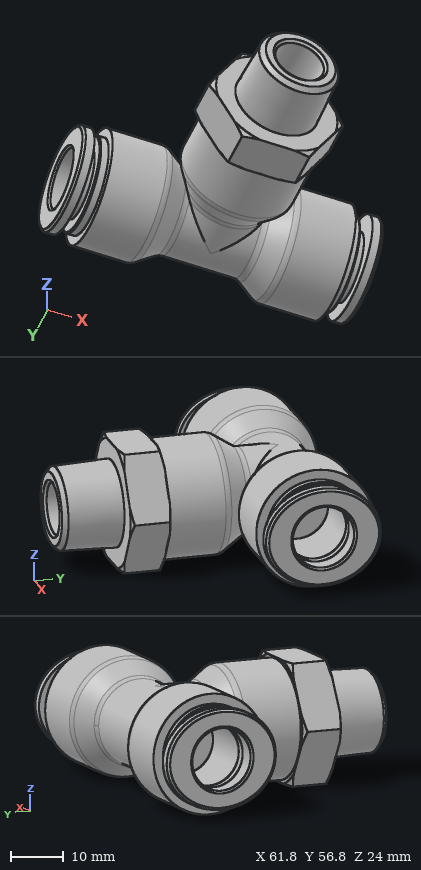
import cadquery as cq
import math

SOCKET_DIA = 23.5
NECK_DIA = 17.0
BRANCH_LENGTH = 25.0
CONE_START = 8.15
CONE_END = 13.1
CONE_BLEND = 2.3

TUBE_BORE_DIA = 12.2
TUBE_BORE_END = CONE_END

COLLAR_DIA = 19.6
COLLAR_LENGTH = 1.8
COLLAR_CHAMFER = 0.25

OVERALL_HALF_LENGTH = 30.9
SLEEVE_NECK_DIA = 14.2
FLANGE_LENGTH = 2.3
FLANGE_WIDTH = 22.8
FLANGE_HEIGHT = 19.6
FLANGE_CHAMFER = 0.5
SLEEVE_BORE_CHAMFER = 0.45

STUD_END = 45.0
HEX_FLATS = 24.0
HEX_LENGTH = 8.0
HEX_FACE_DIA = 24.95
HEX_CHAMFER_DEPTH = 0.5
SPIGOT_ROOT_DIA = 17.05
SPIGOT_END_DIA = 16.3
SPIGOT_TIP_DIA = 14.35
SPIGOT_CHAMFER_LENGTH = 1.0
STUD_BORE_DIA = 10.0
STUD_BORE_CHAMFER = 0.55

HEX_BACK = BRANCH_LENGTH
HEX_FRONT = HEX_BACK + HEX_LENGTH
COLLAR_END = BRANCH_LENGTH + COLLAR_LENGTH
SIDES = (-1, 1)
SELECT_MARGIN = 0.6


def revolve_about_x(points):
    """Solid of revolution about X from (distance along X, radius) points."""
    return cq.Workplane("XY").polyline(points).close().revolve(360, (0, 0, 0), (1, 0, 0))


def point_along_minus_y(solid):
    """Turn a solid built along +X so that it points along -Y."""
    return solid.rotate((0, 0, 0), (0, 0, 1), -90)


def point_along_side(solid, side):
    """Keep a solid built along +X, or turn it half round to point along -X."""
    return solid if side > 0 else solid.rotate((0, 0, 0), (0, 0, 1), 180)


def make_branch():
    """One branch of the tee: neck, blended cone and socket, along +X."""
    neck = NECK_DIA / 2
    socket = SOCKET_DIA / 2
    outline = [
        (0, 0),
        (0, neck),
        (CONE_START, neck),
        (CONE_END, socket),
        (BRANCH_LENGTH, socket),
        (BRANCH_LENGTH, 0),
    ]
    around_cone = cq.selectors.BoxSelector(
        (CONE_START - SELECT_MARGIN, -socket, -socket), (CONE_END + SELECT_MARGIN, socket, socket)
    )
    return revolve_about_x(outline).edges("%CIRCLE").edges(around_cone).fillet(CONE_BLEND)


def make_tee():
    branch = make_branch()
    tee = point_along_minus_y(branch)
    for side in SIDES:
        tee = tee.union(point_along_side(branch, side))
    bore = (
        cq.Workplane("YZ", origin=(TUBE_BORE_END, 0, 0))
        .circle(TUBE_BORE_DIA / 2)
        .extrude(BRANCH_LENGTH - TUBE_BORE_END)
    )
    for side in SIDES:
        tee = tee.cut(point_along_side(bore, side))
    return tee


def make_collar(side):
    collar = (
        cq.Workplane("YZ", origin=(BRANCH_LENGTH, 0, 0))
        .circle(COLLAR_DIA / 2)
        .extrude(COLLAR_LENGTH)
        .faces(">X").chamfer(COLLAR_CHAMFER)
        .faces(">X").workplane().hole(TUBE_BORE_DIA)
    )
    return point_along_side(collar, side)


def make_sleeve(side):
    flange_back = OVERALL_HALF_LENGTH - FLANGE_LENGTH
    flange = (
        cq.Workplane("YZ", origin=(flange_back, 0, 0))
        .ellipse(FLANGE_WIDTH / 2, FLANGE_HEIGHT / 2)
        .extrude(FLANGE_LENGTH)
        .faces(">X").chamfer(FLANGE_CHAMFER)
    )
    neck = (
        cq.Workplane("YZ", origin=(COLLAR_END, 0, 0))
        .circle(SLEEVE_NECK_DIA / 2)
        .extrude(flange_back - COLLAR_END)
    )
    sleeve = neck.union(flange).faces(">X").workplane().hole(TUBE_BORE_DIA)
    sleeve = sleeve.faces(">X").edges("%CIRCLE").chamfer(SLEEVE_BORE_CHAMFER)
    return point_along_side(sleeve, side)


def make_hexagon():
    """Hexagon along +X, its corners chamfered at both ends, two flats facing +Z and -Z."""
    corner_dia = HEX_FLATS / math.cos(math.pi / 6)
    corner = corner_dia / 2
    face = HEX_FACE_DIA / 2
    prism = cq.Workplane("YZ", origin=(HEX_BACK, 0, 0)).polygon(6, corner_dia).extrude(HEX_LENGTH)
    chamfered_blank = revolve_about_x([
        (HEX_BACK, 0),
        (HEX_BACK, face),
        (HEX_BACK + HEX_CHAMFER_DEPTH, corner),
        (HEX_FRONT - HEX_CHAMFER_DEPTH, corner),
        (HEX_FRONT, face),
        (HEX_FRONT, 0),
    ])
    return prism.intersect(chamfered_blank)


def make_stud():
    spigot = revolve_about_x([
        (HEX_FRONT, 0),
        (HEX_FRONT, SPIGOT_ROOT_DIA / 2),
        (STUD_END - SPIGOT_CHAMFER_LENGTH, SPIGOT_END_DIA / 2),
        (STUD_END, SPIGOT_TIP_DIA / 2),
        (STUD_END, 0),
    ])
    bore_radius = STUD_BORE_DIA / 2
    bore = revolve_about_x([
        (HEX_BACK, 0),
        (HEX_BACK, bore_radius),
        (STUD_END - STUD_BORE_CHAMFER, bore_radius),
        (STUD_END, bore_radius + STUD_BORE_CHAMFER),
        (STUD_END, 0),
    ])
    return point_along_minus_y(make_hexagon().union(spigot).cut(bore))


tee = make_tee()
stud = make_stud()
collars = [make_collar(side) for side in SIDES]
sleeves = [make_sleeve(side) for side in SIDES]

result = cq.Compound.makeCompound([
    tee.val(),
    stud.val(),
    *[collar.val() for collar in collars],
    *[sleeve.val() for sleeve in sleeves],
])